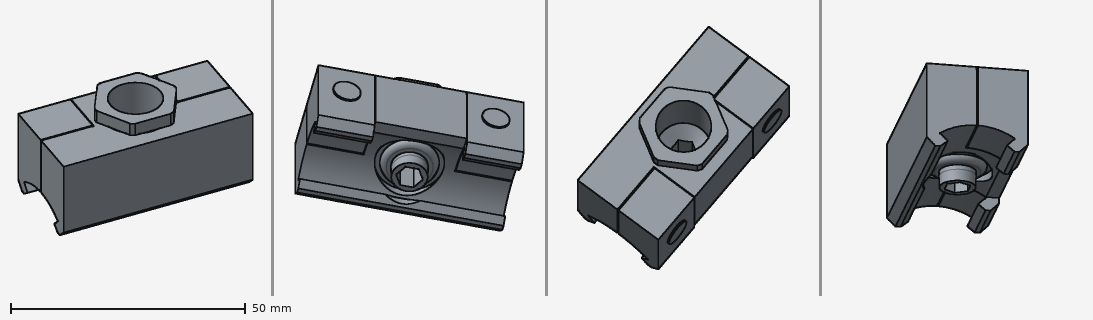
import cadquery as cq
import math

length = 45.0
width = 22.0
height = 19.0

arch_apex_z = 5.45
notch_x = 8.15
notch_z = 3.0
hook_undercut = 1.7
hook_foot_x = 8.05
hook_chamfer = 1.85

jaw_gap_x = 0.3
jaw_gap_y = 0.15
bridge_length = 20.0

pin_diameter = 6.0
pin_z = 11.48
pin_protrusion = 0.4
pin_seat_depth = 5.0

flange_width = 16.95
flange_corner_diameter = 19.0
flange_thickness = 3.0
flange_clearance = 1.0
sleeve_diameter = 14.95
bore_diameter = 11.85

plug_diameter = 12.7
plug_top_z = 10.0
plug_bottom_z = 4.0
plug_fillet = 1.35
neck_diameter = 7.95
neck_bottom_z = 3.0
tip_diameter = 7.75
tip_bottom_z = 0.4
socket_width = 5.1
funnel_angle = 118.0

half_width = width / 2
bridge_end_y = bridge_length / 2
jaw_start_y = bridge_end_y + jaw_gap_y
jaw_length = length / 2 - jaw_start_y
pin_y = jaw_start_y + jaw_length / 2
jaw_inner_x = -jaw_gap_x / 2
body_inner_x = jaw_gap_x / 2
pin_end_x = body_inner_x + pin_seat_depth
flange_bottom_z = height + flange_clearance


def box_between(x_range, y_range, z_range):
    """Box given by its lower and upper limits along each axis."""
    (x0, x1), (y0, y1), (z0, z1) = x_range, y_range, z_range
    return cq.Workplane("XY").box(x1 - x0, y1 - y0, z1 - z0, centered=False).translate((x0, y0, z0))


def clamp_blank():
    """Full block with the arch and both hooks along its whole length."""
    tip_x = notch_x - hook_undercut
    tip_z = notch_z - hook_undercut
    foot_outer_x = half_width - hook_chamfer
    return (
        cq.Workplane("XZ")
        .moveTo(-half_width, height)
        .lineTo(-half_width, hook_chamfer)
        .lineTo(-foot_outer_x, 0)
        .lineTo(-hook_foot_x, 0)
        .lineTo(-tip_x, tip_z)
        .lineTo(-notch_x, notch_z)
        .threePointArc((0, arch_apex_z), (notch_x, notch_z))
        .lineTo(tip_x, tip_z)
        .lineTo(hook_foot_x, 0)
        .lineTo(foot_outer_x, 0)
        .lineTo(half_width, hook_chamfer)
        .lineTo(half_width, height)
        .close()
        .extrude(length / 2, both=True)
    )


def hexagon(across_flats, bottom_z, thickness):
    """Hexagonal prism on the Z axis with two flats facing along X."""
    corner_diameter = across_flats / math.cos(math.pi / 6)
    prism = cq.Workplane("XY").polygon(6, corner_diameter).extrude(thickness)
    return prism.rotate((0, 0, 0), (0, 0, 1), 90).translate((0, 0, bottom_z))


def upright_cylinder(diameter, bottom_z, top_z):
    """Cylinder on the Z axis."""
    return cq.Workplane("XY").workplane(offset=bottom_z).circle(diameter / 2).extrude(top_z - bottom_z)


def make_pin(side):
    """Round pin along X; side is +1 or -1 for the end of the block."""
    start_x = -half_width - pin_protrusion
    return (
        cq.Workplane("YZ", origin=(start_x, side * pin_y, pin_z))
        .circle(pin_diameter / 2)
        .extrude(pin_end_x - start_x)
    )


def make_jaw(side):
    """Corner of the clamp block with a hole for its pin."""
    y_range = sorted((side * jaw_start_y, side * length / 2))
    region = box_between((-half_width, jaw_inner_x), y_range, (0, height))
    return clamp_blank().intersect(region).cut(make_pin(side))


def make_main_body():
    """Clamp block without the jaws, with the bridge, pin seats and sleeve hole."""
    body = clamp_blank()
    for side in (-1, 1):
        y_range = sorted((side * bridge_end_y, side * length / 2))
        body = body.cut(box_between((-half_width, body_inner_x), y_range, (0, height)))
        body = body.cut(make_pin(side))
    bridge_hook = box_between((-half_width, 0), (-bridge_end_y, bridge_end_y), (0, notch_z))
    sleeve_hole = upright_cylinder(sleeve_diameter, 0, height)
    return body.cut(bridge_hook).cut(sleeve_hole)


def make_bushing():
    """Sleeve from the apex of the arch to a hexagonal flange, with a bore and a counterbore for the plug."""
    top_z = flange_bottom_z + flange_thickness
    flange = hexagon(flange_width, flange_bottom_z, flange_thickness)
    flange = flange.intersect(upright_cylinder(flange_corner_diameter, flange_bottom_z, top_z))
    sleeve = upright_cylinder(sleeve_diameter, arch_apex_z, flange_bottom_z)
    bore = upright_cylinder(bore_diameter, plug_top_z, top_z)
    plug_seat = upright_cylinder(plug_diameter, arch_apex_z, plug_top_z)
    return sleeve.union(flange).cut(bore).cut(plug_seat)


def make_plug():
    """Stepped round plug with a funnel that leads into a hexagonal socket."""
    plug_radius = plug_diameter / 2
    funnel_radius = bore_diameter / 2
    funnel_depth = funnel_radius / math.tan(math.radians(funnel_angle / 2))
    plug = (
        cq.Workplane("XZ")
        .moveTo(0, tip_bottom_z)
        .lineTo(tip_diameter / 2, tip_bottom_z)
        .lineTo(neck_diameter / 2, neck_bottom_z)
        .lineTo(neck_diameter / 2, plug_bottom_z)
        .lineTo(plug_radius - plug_fillet, plug_bottom_z)
        .radiusArc((plug_radius, plug_bottom_z + plug_fillet), -plug_fillet)
        .lineTo(plug_radius, plug_top_z)
        .lineTo(funnel_radius, plug_top_z)
        .lineTo(0, plug_top_z - funnel_depth)
        .close()
        .revolve(360, (0, 0, 0), (0, 1, 0))
    )
    return plug.cut(hexagon(socket_width, tip_bottom_z, plug_top_z - tip_bottom_z))


main_body = make_main_body()
jaws = [make_jaw(side) for side in (-1, 1)]
pins = [make_pin(side) for side in (-1, 1)]
bushing = make_bushing()
plug = make_plug()

result = cq.Compound.makeCompound([
    main_body.val(),
    *[jaw.val() for jaw in jaws],
    *[pin.val() for pin in pins],
    bushing.val(),
    plug.val(),
])